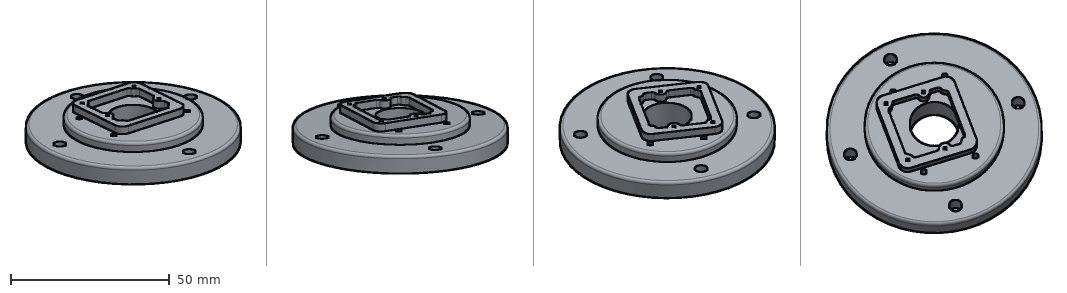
import cadquery as cq

base_diameter = 67.8
base_height = 6.0
flange_hole_diameter = 4.0
flange_hole_circle = 55.9
flange_hole_angles = (0, 100.6, 180, 264.9)

boss_diameter = 43.95
boss_height = 3.25
boss_hole_diameter = 1.75
boss_hole_spacing_x = 17.2
boss_hole_spacing_y = 29.85

edge_radius = 1.0
bore_diameter = 15.45

frame_angle = -15.0
frame_height = 2.65
frame_left = -15.45
frame_right = 10.45
frame_width = 27.0
frame_corner_radius = 3.0
frame_wall = 3.0

lug_radius = 2.0
lug_fillet = 1.0
screw_hole_diameter = 1.0

boss_top = base_height + boss_height
total_height = boss_top + frame_height

pocket_left = frame_left + frame_wall
pocket_right = frame_right - frame_wall
pocket_half_width = frame_width / 2 - frame_wall


def across(x):
    """The two points at x on the long pocket walls."""
    return [(x, pocket_half_width), (x, -pocket_half_width)]


def rounded_disc(diameter, height, bottom):
    """Disc with a rounded top rim."""
    disc = cq.Workplane("XY").workplane(offset=bottom).circle(diameter / 2).extrude(height)
    return disc.faces(">Z").edges().fillet(edge_radius)


def frame_block(left, right, width):
    """Block of the frame height that stands on the boss."""
    return (
        cq.Workplane("XY")
        .workplane(offset=boss_top)
        .center((left + right) / 2, 0)
        .rect(right - left, width)
        .extrude(frame_height)
    )


def holes(points, diameter, bottom):
    """Cylinders from the bottom level up to the top of the part."""
    return (
        cq.Workplane("XY")
        .workplane(offset=bottom)
        .pushPoints(points)
        .circle(diameter / 2)
        .extrude(total_height - bottom)
    )


def lugged_pocket():
    """Pocket narrowed by round lugs at its corners and along its long walls."""
    pocket = frame_block(pocket_left, pocket_right, 2 * pocket_half_width)
    lug_points = across(pocket_left) + across(0) + across(pocket_right)
    pocket = pocket.cut(holes(lug_points, 2 * lug_radius, boss_top))
    return pocket.edges("|Z").fillet(lug_fillet)


body = rounded_disc(base_diameter, base_height, 0)
body = body.union(rounded_disc(boss_diameter, boss_height, base_height))
body = body.cut(holes([(0, 0)], bore_diameter, 0))

frame = frame_block(frame_left, frame_right, frame_width)
frame = frame.edges("|Z").fillet(frame_corner_radius)
body = body.union(frame.cut(lugged_pocket()))

for angle in flange_hole_angles:
    flange_hole = holes([(flange_hole_circle / 2, 0)], flange_hole_diameter, 0)
    body = body.cut(flange_hole.rotate((0, 0, 0), (0, 0, 1), angle))

half_x = boss_hole_spacing_x / 2
half_y = boss_hole_spacing_y / 2
boss_hole_points = [(x, y) for x in (-half_x, half_x) for y in (-half_y, half_y)]
body = body.cut(holes(boss_hole_points, boss_hole_diameter, 0))

body = body.cut(holes(across(pocket_left), screw_hole_diameter, 0))
body = body.cut(holes(across(0), screw_hole_diameter, boss_top))

result = body.rotate((0, 0, 0), (0, 0, 1), frame_angle)